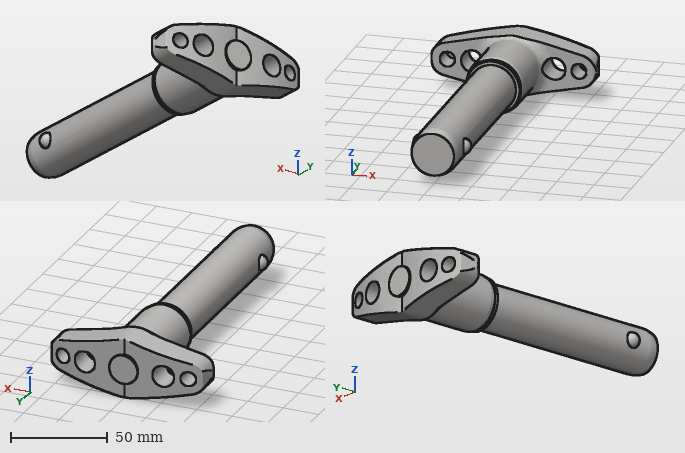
import cadquery as cq
import math


pin_radius = 12.5
pin_length = 111.8
tip_length = 5.5
tip_radius = 11.4

ball_radius = 4.25
ball_offset = 11.2
ball_from_tip = 17.8

shoulder_radius = 15.3
shoulder_taper_start = 4.9
collar_height = 2.0
collar_radius = 14.4
taper_end_radius = 14.75
shoulder_fillet = 5.5

lobe_radius = 16.605
end_radius = 9.0
half_length = 44.35
end_offset = half_length - end_radius

total_height = 55.0
crest_y = total_height - 0.5
crest_x = 15.0
crown_radius = 85.0
top_end_x = 42.8
bottom_end_x = 44.84
bottom_end_y = total_height - 17.4
bottom_middle_y = total_height - 16.2
end_fillet = 2.4
crown_edge_fillet = 0.35

inner_hole_diameter = 11.8
inner_hole_x = 22.1
outer_hole_diameter = 8.0
button_radius = 8.0
button_depth = 5.0


def crown_y(x):
    """Height of the handle top on the +X wing."""
    return crest_y - crown_radius + math.sqrt(crown_radius**2 - (x - crest_x) ** 2)


def make_handle_profile():
    """Side profile of the handle, extruded wider than the finished handle."""
    half_width = 2 * lobe_radius
    return (
        cq.Workplane("XY")
        .moveTo(-bottom_end_x, bottom_end_y)
        .threePointArc((0, bottom_middle_y), (bottom_end_x, bottom_end_y))
        .lineTo(top_end_x, crown_y(top_end_x))
        .threePointArc((crest_x, crest_y), (0, crown_y(0)))
        .threePointArc((-crest_x, crest_y), (-top_end_x, crown_y(top_end_x)))
        .close()
        .extrude(half_width, both=True)
        .edges("|Z and (<X or >X)")
        .fillet(end_fillet)
    )


def make_outline():
    """Tangent-joined lobes in XZ, extruded over the whole handle height."""
    tangent_sin = (lobe_radius - end_radius) / end_offset
    tangent_cos = math.sqrt(1 - tangent_sin**2)
    lobe_x = lobe_radius * tangent_sin
    lobe_z = lobe_radius * tangent_cos
    end_x = end_offset + end_radius * tangent_sin
    end_z = end_radius * tangent_cos
    return (
        cq.Workplane("XZ")
        .moveTo(-lobe_x, lobe_z)
        .threePointArc((0, lobe_radius), (lobe_x, lobe_z))
        .lineTo(end_x, end_z)
        .threePointArc((half_length, 0), (end_x, -end_z))
        .lineTo(lobe_x, -lobe_z)
        .threePointArc((0, -lobe_radius), (-lobe_x, -lobe_z))
        .lineTo(-end_x, -end_z)
        .threePointArc((-half_length, 0), (-end_x, end_z))
        .close()
        .extrude(-total_height)
    )


def make_shoulder():
    """Revolved shoulder with its tapered lower end, reaching into the handle."""
    return (
        cq.Workplane("XY")
        .polyline([
            (0, 0),
            (collar_radius, 0),
            (collar_radius, collar_height),
            (taper_end_radius, collar_height),
            (shoulder_radius, shoulder_taper_start),
            (shoulder_radius, bottom_middle_y + shoulder_fillet),
            (0, bottom_middle_y + shoulder_fillet),
        ])
        .close()
        .revolve(360, (0, 0, 0), (0, 1, 0))
    )


def make_handle():
    """Handle and shoulder, blended, trimmed to the outline and rounded at the crown rim."""
    body = make_handle_profile().union(make_shoulder())
    blend_edges = cq.selectors.BoxSelector(
        (-lobe_radius, bottom_end_y, -lobe_radius),
        (lobe_radius, crown_y(end_offset), lobe_radius),
    )
    body = body.edges(blend_edges).fillet(shoulder_fillet)
    body = body.intersect(make_outline())
    crown_faces = cq.selectors.BoxSelector(
        (-end_offset, crown_y(end_offset), -end_radius),
        (end_offset, total_height, end_radius),
    )
    valley_edge = cq.selectors.NearestToPointSelector((0, crown_y(0), 0))
    rim_edges = body.faces(crown_faces).edges(cq.selectors.InverseSelector(valley_edge))
    return rim_edges.fillet(crown_edge_fillet)


def make_hole(x, diameter):
    """Cutter for a hole along Y through the whole handle."""
    return (
        cq.Workplane("XZ")
        .center(x, 0)
        .circle(diameter / 2)
        .extrude(-total_height)
    )


def make_button():
    """Release button standing in the valley between the two wings."""
    return (
        cq.Workplane("XZ", origin=(0, total_height, 0))
        .circle(button_radius)
        .extrude(button_depth)
    )


def make_pin():
    """Shank with a lead-in arc that is tangent to its cylinder."""
    tip_drop = pin_radius - tip_radius
    arc_radius = (tip_length**2 + tip_drop**2) / (2 * tip_drop)
    half_angle = math.asin(tip_length / arc_radius) / 2
    tip_y = -pin_length
    arc_start_y = tip_y + tip_length
    arc_middle = (
        pin_radius - arc_radius * (1 - math.cos(half_angle)),
        arc_start_y - arc_radius * math.sin(half_angle),
    )
    return (
        cq.Workplane("XY")
        .moveTo(0, collar_height)
        .lineTo(pin_radius, collar_height)
        .lineTo(pin_radius, arc_start_y)
        .threePointArc(arc_middle, (tip_radius, tip_y))
        .lineTo(0, tip_y)
        .close()
        .revolve(360, (0, 0, 0), (0, 1, 0))
    )


def make_ball(x):
    """Locking ball partly sunk in the shank."""
    ball_y = ball_from_tip - pin_length
    return cq.Workplane("XY").sphere(ball_radius).translate((x, ball_y, 0))


result = make_handle().union(make_button()).union(make_pin())
for side in (-1, 1):
    result = result.cut(make_hole(side * inner_hole_x, inner_hole_diameter))
    result = result.cut(make_hole(side * end_offset, outer_hole_diameter))
    result = result.union(make_ball(side * ball_offset))